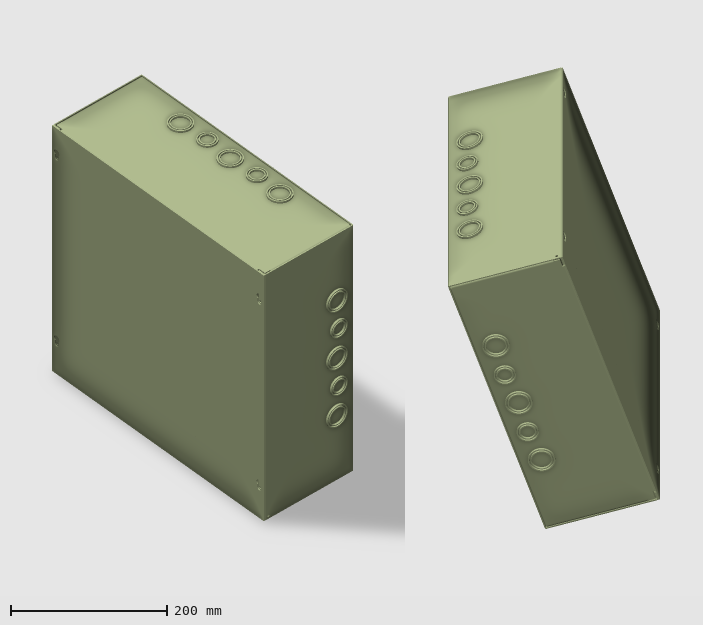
import cadquery as cq

overall_width = 412.5
overall_depth = 154.0
ridge_height = 3.1
cover_thickness = 1.5

tight_inner_radius = 0.345 / 2
tight_outer_radius = 3.67 / 2
sheet = tight_outer_radius - tight_inner_radius
wide_outer_radius = 3.1
wide_inner_radius = wide_outer_radius - sheet

box_size = overall_width - 2 * ridge_height
half_box = box_size / 2
box_depth = overall_depth - cover_thickness
back_y = overall_depth / 2
box_front_y = back_y - box_depth
front_flange = 12.5
corner_hole_diameter = 4.0
corner_hole_setback = 6.0
corner_hole_height = 5.0

end_half_width = half_box - sheet
end_back_y = back_y - sheet
end_flange = 12.5
end_notch_width = 15.0
end_notch_depth = 2 * sheet
side_flange_setback = 12.8
end_corner_gap = 1.5

large_ridges = [(35.0, 31.8), (28.5, 25.5)]
small_ridges = [(28.5, 25.5), (22.3, 19.0)]
large_pitch = 95.3
large_columns = (-large_pitch, 0, large_pitch)
small_columns = (-large_pitch / 2, large_pitch / 2)
knockout_margin = 12.5

screw_x = 194.3
screw_z = 154.0
screw_hole_diameter = 4.0
keyhole_slot_width = 6.5
keyhole_head_diameter = 10.5
keyhole_head_rise = 8.5
screw_points = [(sx * screw_x, sz * screw_z) for sx in (-1, 1) for sz in (-1, 1)]


def block(x_min, x_max, y_min, y_max, z_min, z_max):
    """Box between two corners."""
    size = (x_max - x_min, y_max - y_min, z_max - z_min)
    return cq.Workplane("XY").box(*size, centered=False).translate((x_min, y_min, z_min))


def front_drill(points, diameter, y_min, y_max):
    """Cylinders along Y at (x, z) points."""
    plane = cq.Workplane("XZ", origin=(0, y_max, 0))
    return plane.pushPoints(points).circle(diameter / 2).extrude(y_max - y_min)


def knockout_row():
    """Ridges of five knockouts standing on the top face of the box."""
    row = cq.Workplane("XY")
    for ridges, columns in ((large_ridges, large_columns), (small_ridges, small_columns)):
        largest_diameter = ridges[0][0]
        center_y = back_y - knockout_margin - largest_diameter / 2
        centers = [(x, center_y) for x in columns]
        for outer, inner in ridges:
            plane = cq.Workplane("XY", origin=(0, 0, half_box)).pushPoints(centers)
            ring = plane.circle(outer / 2).circle(inner / 2).extrude(ridge_height)
            row = row.add(ring)
    return row.vals()


def with_knockouts(body, angle):
    """Add a knockout row to the face reached by turning the top face about Y."""
    for ridge in knockout_row():
        turned_ridge = ridge.rotate(cq.Vector(0, 0, 0), cq.Vector(0, 1, 0), angle)
        body = body.union(cq.Workplane(turned_ridge))
    return body


def make_wrapper():
    """Back, both sides and the side flanges behind the cover, bent from one sheet."""
    outside = block(-half_box, half_box, box_front_y, back_y, -half_box, half_box)
    outside = outside.edges("|Z").fillet(tight_outer_radius)
    flange_back_y = box_front_y + sheet
    inside = block(-end_half_width, end_half_width, flange_back_y, end_back_y, -half_box, half_box)
    inside = inside.edges("|Z").fillet(tight_inner_radius)
    opening_half = half_box - front_flange
    opening_back_y = box_front_y + 2 * sheet
    opening = block(-opening_half, opening_half, box_front_y, opening_back_y, -half_box, half_box)
    wrapper = outside.cut(inside).cut(opening)
    wrapper = wrapper.cut(front_drill(screw_points, screw_hole_diameter, box_front_y, flange_back_y))
    corner_hole = (
        cq.Workplane("YZ", origin=(-half_box, 0, 0))
        .center(box_front_y + corner_hole_setback, corner_hole_height - half_box)
        .circle(corner_hole_diameter / 2)
        .extrude(box_size)
    )
    wrapper = wrapper.cut(corner_hole)
    for angle in (-90, 90):
        wrapper = with_knockouts(wrapper, angle)
    return wrapper


def bent_channel(x_half, y_min, y_max, bend_axis, outer_radius, inner_radius):
    """Inverted U channel whose bends run along the given axis."""
    flange_z = half_box - end_flange
    outside = block(-x_half, x_half, y_min, y_max, flange_z, half_box)
    outside = outside.faces(">Z").edges("|" + bend_axis).fillet(outer_radius)
    x_wall, y_wall = (sheet, 0) if bend_axis == "Y" else (0, sheet)
    inside_half = x_half - x_wall
    inside_top_z = half_box - sheet
    inside = block(-inside_half, inside_half, y_min + y_wall, y_max - y_wall, flange_z, inside_top_z)
    inside = inside.faces(">Z").edges("|" + bend_axis).fillet(inner_radius)
    return outside.cut(inside)


def make_top_end():
    """Top panel with a flange on each side, its corners relieved where the flanges meet."""
    side_bends = bent_channel(
        end_half_width,
        box_front_y + side_flange_setback,
        end_back_y - tight_outer_radius,
        "Y",
        wide_outer_radius,
        wide_inner_radius,
    )
    front_half = half_box - end_notch_width
    front_bend = bent_channel(
        front_half, box_front_y, end_back_y, "X", tight_outer_radius, tight_inner_radius
    )
    back_half = end_half_width - wide_outer_radius
    back_bend = bent_channel(
        back_half, box_front_y, end_back_y, "X", tight_outer_radius, tight_inner_radius
    )
    back_bend = back_bend.intersect(block(-back_half, back_half, 0, end_back_y, 0, half_box))
    corner_half = end_half_width - end_corner_gap
    corner_front_y = box_front_y + end_notch_depth
    corner_back_y = box_front_y + side_flange_setback
    front_corners = block(
        -corner_half, corner_half, corner_front_y, corner_back_y, half_box - sheet, half_box
    )
    panel = side_bends.union(front_bend).union(back_bend).union(front_corners)
    return with_knockouts(panel, 0)


def make_cover():
    """Flat cover with four keyholes."""
    cover_front_y = box_front_y - cover_thickness
    cover = block(-half_box, half_box, cover_front_y, box_front_y, -half_box, half_box)
    head_points = [(x, z + keyhole_head_rise) for x, z in screw_points]
    cover = cover.cut(front_drill(screw_points, keyhole_slot_width, cover_front_y, box_front_y))
    cover = cover.cut(front_drill(head_points, keyhole_head_diameter, cover_front_y, box_front_y))
    half_slot = keyhole_slot_width / 2
    for x, z in screw_points:
        head_z = z + keyhole_head_rise
        neck = block(x - half_slot, x + half_slot, cover_front_y, box_front_y, z, head_z)
        cover = cover.cut(neck)
    return cover


wrapper = make_wrapper()
top_end = make_top_end()
bottom_end = top_end.mirror("XY")
cover = make_cover()

result = cq.Compound.makeCompound([wrapper.val(), top_end.val(), bottom_end.val(), cover.val()])